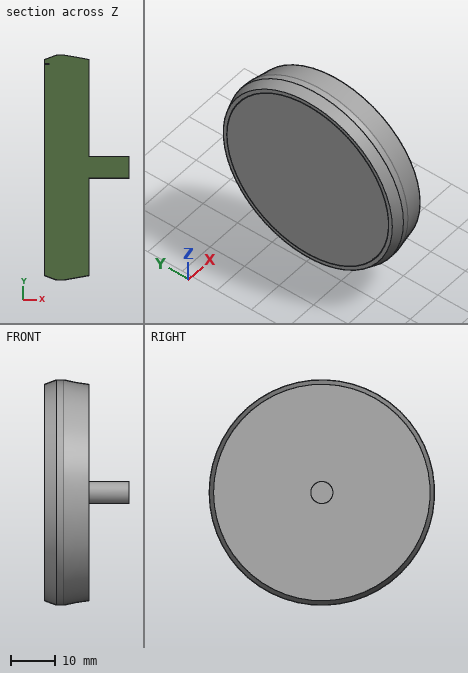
import cadquery as cq

rim_radius = 25.5
face_radius = 24.5
front_taper_end = 2.75
back_taper_start = 4.4
disc_thickness = 10.1
stem_radius = 2.5
overall_length = 19.2
groove_outer_radius = 23.45
groove_width = 0.1
groove_depth = 1.0

body = (
    cq.Workplane("XY")
    .moveTo(0, 0)
    .lineTo(0, -face_radius)
    .lineTo(front_taper_end, -rim_radius)
    .lineTo(back_taper_start, -rim_radius)
    .lineTo(disc_thickness, -face_radius)
    .lineTo(disc_thickness, -stem_radius)
    .lineTo(overall_length, -stem_radius)
    .lineTo(overall_length, 0)
    .close()
    .revolve(360, (0, 0, 0), (1, 0, 0))
)

groove = (
    cq.Workplane("YZ")
    .circle(groove_outer_radius)
    .circle(groove_outer_radius - groove_width)
    .extrude(groove_depth)
)

result = body.cut(groove)